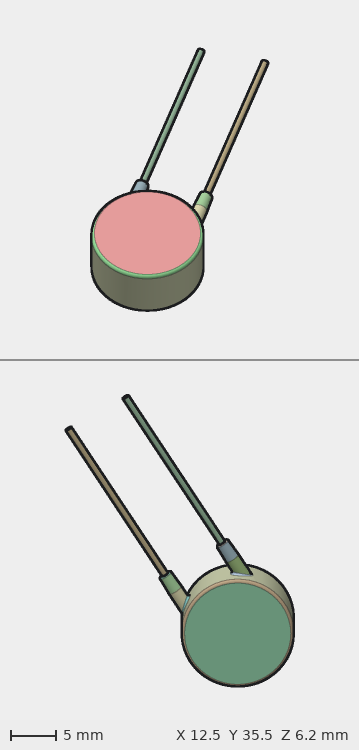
import cadquery as cq

body_diameter = 12.5
body_height = 6.2
body_edge_radius = 0.35

overall_length = 35.5
lead_spacing = 7.5
lead_height_difference = 1.0
wire_diameter = 0.78
wire_end_y = overall_length - body_diameter / 2

sleeve_diameter = 1.67
sleeve_tip_diameter = 1.5
sleeve_taper_start_y = 7.05
sleeve_end_y = 9.2
sleeve_tip_radius = 0.15
sleeve_root_radius = 0.2


def make_body():
    """Disc with rounded rims."""
    disc = cq.Workplane("XY").cylinder(body_height, body_diameter / 2)
    return disc.edges("%CIRCLE").fillet(body_edge_radius)


def make_sleeve(x, z):
    """Straight and tapered sleeve running from inside the body."""
    profile = (
        cq.Workplane("XY")
        .lineTo(sleeve_diameter / 2, 0)
        .lineTo(sleeve_diameter / 2, sleeve_taper_start_y)
        .lineTo(sleeve_tip_diameter / 2, sleeve_end_y)
        .lineTo(0, sleeve_end_y)
        .close()
    )
    sleeve = profile.revolve(360, (0, 0, 0), (0, 1, 0))
    return sleeve.faces(">Y").edges().fillet(sleeve_tip_radius).translate((x, 0, z))


def make_wire(x, z):
    """Plain round wire running from inside the body to the free end."""
    wire = cq.Workplane("XZ").circle(wire_diameter / 2).extrude(-wire_end_y)
    return wire.translate((x, 0, z))


lead_positions = [
    (side * lead_spacing / 2, side * lead_height_difference / 2)
    for side in (-1, 1)
]

result = make_body()
for x, z in lead_positions:
    result = result.union(make_sleeve(x, z))

root_zone = cq.selectors.BoxSelector(
    (-body_diameter / 2, 0, -body_height / 2 + 2 * body_edge_radius),
    (body_diameter / 2, body_diameter / 2, body_height / 2 - 2 * body_edge_radius),
)
result = result.edges(root_zone).fillet(sleeve_root_radius)

for x, z in lead_positions:
    result = result.union(make_wire(x, z))